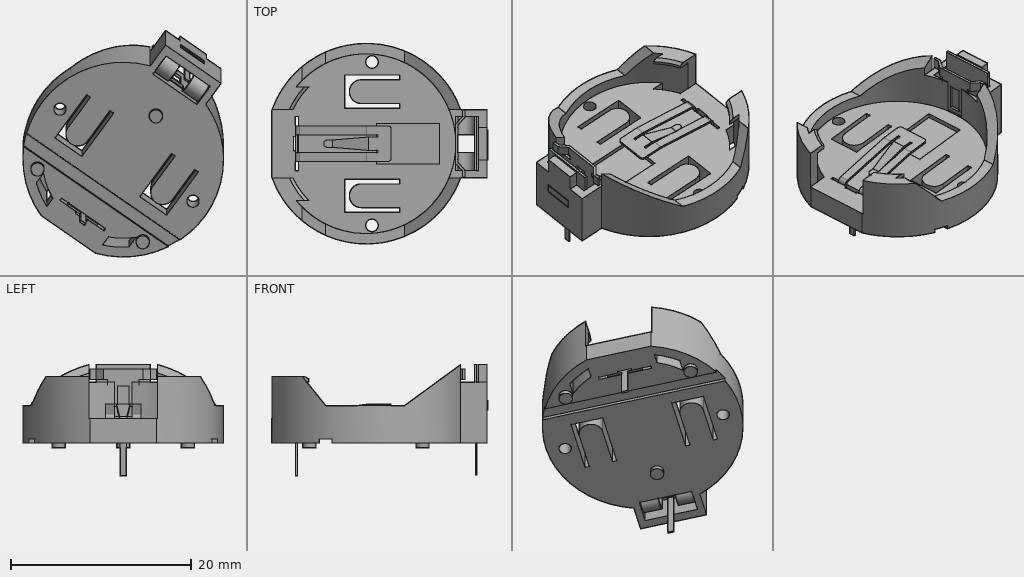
import cadquery as cq
import math

OUTER_DIAMETER = 22.3
OUTER_RADIUS = OUTER_DIAMETER / 2
FLAT_X = -10.52
CAVITY_RADIUS = 10.0
CAVITY_CENTER_X = -0.05
FLOOR_Z = 2.74
RIM_LOW_Z = 4.18
RIM_FRONT_Z = 7.42
TOP_Z = 8.75
RAMP_FRONT_TOP_X = -7.13
RAMP_FRONT_FOOT_X = -4.51
RAMP_BACK_FOOT_X = 4.25
RAMP_BACK_TOP_X = 10.5

BOX_HALF_WIDTH = 3.8
BOX_END_X = 13.42
BOX_TOP_Z = 6.77
TAB_HALF_WIDTH = 1.8
OVERALL_LENGTH = 24
BADGE_END_X = FLAT_X + OVERALL_LENGTH
BADGE_WIDTH = 3.3
BADGE_Y = -0.15
BADGE_BOTTOM_Z = 3.67
BADGE_TOP_Z = 4.73

LIP_RADIUS = 8.95
LIP_CHAMFER_RADIUS = 9.32
LIP_BOTTOM_Z = 6.8
LIP_EDGE_Z = 7.13
LIP_END_Y = 6.31

HOLE_DIAMETER = 1.37
HOLE_X = 0.62
HOLE_Y = 9.08
U_START_X = -2.38
U_END_X = 3.7
U_CENTER_Y = 5.79
U_WIDTH = 3.65
U_TONGUE_WIDTH = 2.67
U_TONGUE_TIP_X = -1.9
POCKET_START_X = 1.15
POCKET_END_X = 8.12
POCKET_WIDTH = 4.54
POCKET_DEPTH = 0.5

CHANNEL_START_X = -5.2
CHANNEL_END_X = -3.82
CHANNEL_DEPTH = 0.43
FOOT_DIAMETER = 1.5
FOOT_HEIGHT = 0.53
FOOT_PAIR_X = -6.35
FOOT_PAIR_Y = 7.18
FOOT_SINGLE_X = 6.25

SLOT_WIDTH = 6.0
LEG_SLOT_START_X = -7.88
LEG_SLOT_END_X = -7.56
NOTCH_WIDTH = 1.55
NOTCH_DEPTH = 0.22

PIN_WIDTH = 0.67

SPRING_THICKNESS = 0.25
SPRING_WIDTH = 3.95
SPRING_END_X = 2.75
SPRING_TOP_Z = 4.32
SPRING_CORNER_RADIUS = 0.38
SPRING_BEND_RADIUS = 0.53
ARM_FOOT_Z = 3.2
ARM_TOP_X = 0.0
ARM_GAP_WIDTH = 1.97
ARM_GAP_END_X = 1.32
ARM_GAP_BOTTOM_Z = 2.28
TONGUE_ROOT_X = 0.22
TONGUE_ROOT_WIDTH = 1.5
TONGUE_BEND_X = -3.75
TONGUE_TIP_X = -4.73
TONGUE_TIP_WIDTH = 0.82
TONGUE_TIP_Z = 2.98
SPRING_PIN_BOTTOM_Z = -3.65

CLIP_THICKNESS = 0.3
CLIP_FRONT_X = 9.9
CLIP_BACK_X = 12.3
CLIP_BEND_Z = 1.68
CLIP_SPLIT_TOP_Z = 2.93
CLIP_SHOULDER_Z = 6.48
CLIP_NECK_WIDTH = 3.55
CLIP_SPLIT_WIDTH = 1.95
WINDOW_WIDTH = 1.25
WINDOW_BOTTOM_Z = 3.4
WINDOW_TOP_Z = 6.35
WING_BOTTOM_Z = 7.05
WING_TOP_Z = 8.24
WING_START_Y = 2.18
WING_ELBOW_Y = 3.05
WING_END_Y = 3.72
WING_SETBACK = 0.8
CLIP_PIN_THICKNESS = 0.17
CLIP_PIN_BOTTOM_Z = -3.55

TERMINAL_SLOT_END_X = 12.44


def block(x0, x1, y0, y1, z0, z1):
    """Box between two corners."""
    return cq.Workplane("XY").box(x1 - x0, y1 - y0, z1 - z0, centered=False).translate((x0, y0, z0))


def centered_block(x0, x1, width, z0, z1):
    """Box centred on the XZ plane."""
    return block(x0, x1, -width / 2, width / 2, z0, z1)


def cylinder(x, y, radius, z0, z1):
    """Upright cylinder."""
    return cq.Workplane("XY", origin=(x, y, z0)).circle(radius).extrude(z1 - z0)


def side_prism(points, width):
    """XZ outline extruded evenly to both sides of the XZ plane."""
    return cq.Workplane("XZ").polyline(points).close().extrude(width / 2, both=True)


def strip_outline(path, thickness):
    """Closed outline of a bent strip: the path and its parallel on the right-hand side, mitred."""
    parallel = []
    last = len(path) - 1
    for i, (px, py) in enumerate(path):
        before = path[max(i - 1, 0):max(i - 1, 0) + 2]
        after = path[min(i, last - 1):min(i, last - 1) + 2]
        angles = [math.atan2(b[1] - a[1], b[0] - a[0]) for a, b in (before, after)]
        middle = sum(angles) / 2
        reach = thickness / math.cos((angles[1] - angles[0]) / 2)
        parallel.append((px + reach * math.sin(middle), py - reach * math.cos(middle)))
    return path + parallel[::-1]


def housing_shell():
    """Round cup with a ramped rim, open at -X and carrying the terminal box at +X."""
    rim_profile = [
        (FLAT_X, 0),
        (FLAT_X, RIM_FRONT_Z),
        (RAMP_FRONT_TOP_X, RIM_FRONT_Z),
        (RAMP_FRONT_FOOT_X, RIM_LOW_Z),
        (RAMP_BACK_FOOT_X, RIM_LOW_Z),
        (RAMP_BACK_TOP_X, TOP_Z),
        (OUTER_RADIUS, TOP_Z),
        (OUTER_RADIUS, 0),
    ]
    shell = cylinder(0, 0, OUTER_RADIUS, 0, TOP_Z)
    shell = shell.intersect(side_prism(rim_profile, 2 * OUTER_RADIUS))
    shell = shell.cut(centered_block(0, BOX_END_X, 2 * BOX_HALF_WIDTH, BOX_TOP_Z, TOP_Z))
    shell = shell.union(centered_block(0, BOX_END_X, 2 * BOX_HALF_WIDTH, 0, BOX_TOP_Z))
    shell = shell.cut(cylinder(CAVITY_CENTER_X, 0, CAVITY_RADIUS, FLOOR_Z, TOP_Z))
    shell = shell.cut(centered_block(FLAT_X, 0, 2 * BOX_HALF_WIDTH, FLOOR_Z, TOP_Z))
    shell = shell.union(
        centered_block(TERMINAL_SLOT_END_X, BOX_END_X, 2 * TAB_HALF_WIDTH, BOX_TOP_Z, TOP_Z)
    )
    badge = centered_block(BOX_END_X, BADGE_END_X, BADGE_WIDTH, BADGE_BOTTOM_Z, BADGE_TOP_Z)
    return shell.union(badge.translate((0, BADGE_Y, 0)))


def lip_zone(side, z0, z1):
    """Space over which one catch extends: side is +1 or -1 in Y."""
    y0, y1 = sorted((side * BOX_HALF_WIDTH, side * LIP_END_Y))
    return block(-OUTER_RADIUS, CAVITY_CENTER_X, y0, y1, z0, z1)


def lip_ring():
    """Ring with a chamfered inner edge, from which the catches are taken."""
    outer = (CAVITY_RADIUS + OUTER_RADIUS) / 2
    section = [
        (LIP_RADIUS, LIP_BOTTOM_Z),
        (outer, LIP_BOTTOM_Z),
        (outer, RIM_FRONT_Z),
        (LIP_CHAMFER_RADIUS, RIM_FRONT_Z),
        (LIP_RADIUS, LIP_EDGE_Z),
    ]
    ring = cq.Workplane("XZ").polyline(section).close().revolve(360, (0, 0, 0), (0, 1, 0))
    return ring.translate((CAVITY_CENTER_X, 0, 0))


def lip(side):
    """One catch, ending inside the wall."""
    inside_wall = cylinder(CAVITY_CENTER_X, 0, CAVITY_RADIUS, LIP_BOTTOM_Z, RIM_FRONT_Z)
    return lip_ring().intersect(lip_zone(side, LIP_BOTTOM_Z, RIM_FRONT_Z)).intersect(inside_wall)


def lip_floor_opening(side):
    """Opening through the floor straight below one catch."""
    ring = cylinder(CAVITY_CENTER_X, 0, CAVITY_RADIUS, 0, FLOOR_Z)
    ring = ring.cut(cylinder(CAVITY_CENTER_X, 0, LIP_RADIUS, 0, FLOOR_Z))
    return ring.intersect(lip_zone(side, 0, FLOOR_Z))


def u_slot(side):
    """U-shaped slot through the floor, leaving a round-ended tongue."""
    tip_radius = U_TONGUE_WIDTH / 2
    tip_center_x = U_TONGUE_TIP_X + tip_radius
    slot = centered_block(U_START_X, U_END_X, U_WIDTH, 0, FLOOR_Z)
    slot = slot.cut(centered_block(tip_center_x, U_END_X, U_TONGUE_WIDTH, 0, FLOOR_Z))
    slot = slot.cut(cylinder(tip_center_x, 0, tip_radius, 0, FLOOR_Z))
    return slot.translate((0, side * U_CENTER_Y, 0))


def contact_slots():
    """Through slots for the legs of the spring and of the clip."""
    leg_slot = centered_block(LEG_SLOT_START_X, LEG_SLOT_END_X, SLOT_WIDTH, 0, FLOOR_Z)
    notch = centered_block(LEG_SLOT_START_X - NOTCH_DEPTH, LEG_SLOT_START_X, NOTCH_WIDTH, 0, FLOOR_Z)
    terminal_slot = centered_block(CLIP_FRONT_X, TERMINAL_SLOT_END_X, SLOT_WIDTH, 0, TOP_Z)
    return leg_slot.union(notch).union(terminal_slot)


def make_housing():
    body = housing_shell().cut(contact_slots())
    body = body.cut(
        centered_block(POCKET_START_X, POCKET_END_X, POCKET_WIDTH, FLOOR_Z - POCKET_DEPTH, FLOOR_Z)
    )
    body = body.cut(centered_block(CHANNEL_START_X, CHANNEL_END_X, 2 * OUTER_RADIUS, 0, CHANNEL_DEPTH))
    for side in (1, -1):
        body = body.union(lip(side))
        body = body.cut(lip_floor_opening(side))
        body = body.cut(u_slot(side))
        body = body.cut(cylinder(HOLE_X, side * HOLE_Y, HOLE_DIAMETER / 2, 0, FLOOR_Z))
    foot_places = [(FOOT_PAIR_X, FOOT_PAIR_Y), (FOOT_PAIR_X, -FOOT_PAIR_Y), (FOOT_SINGLE_X, 0)]
    for x, y in foot_places:
        body = body.union(cylinder(x, y, FOOT_DIAMETER / 2, -FOOT_HEIGHT, 0))
    return body


def spring_sheet():
    """Leg, sloped arms and flat pad as one bent sheet."""
    path = [
        (LEG_SLOT_START_X, 0),
        (LEG_SLOT_START_X, ARM_FOOT_Z),
        (ARM_TOP_X, SPRING_TOP_Z),
        (SPRING_END_X, SPRING_TOP_Z),
    ]
    sheet = side_prism(strip_outline(path, SPRING_THICKNESS), SPRING_WIDTH)
    inside_bend = cq.selectors.BoxSelector(
        (LEG_SLOT_START_X + SPRING_THICKNESS / 2, -SPRING_WIDTH, FLOOR_Z),
        (LEG_SLOT_END_X, SPRING_WIDTH, ARM_FOOT_Z),
    )
    outside_bend = cq.selectors.BoxSelector(
        (LEG_SLOT_START_X - SPRING_THICKNESS / 2, -SPRING_WIDTH, FLOOR_Z),
        (LEG_SLOT_START_X + SPRING_THICKNESS / 2, SPRING_WIDTH, SPRING_TOP_Z),
    )
    sheet = sheet.edges("|Y").edges(inside_bend).fillet(SPRING_BEND_RADIUS - SPRING_THICKNESS)
    sheet = sheet.edges("|Y").edges(outside_bend).fillet(SPRING_BEND_RADIUS)
    return sheet.edges("|Z and >X").fillet(SPRING_CORNER_RADIUS)


def spring_tongue():
    """Tapered tongue bent down from the pad to the floor, with a flat round tip."""
    path = [
        (TONGUE_TIP_X, TONGUE_TIP_Z),
        (TONGUE_BEND_X, TONGUE_TIP_Z),
        (TONGUE_ROOT_X, SPRING_TOP_Z),
        (ARM_GAP_END_X, SPRING_TOP_Z),
    ]
    tip_radius = TONGUE_TIP_WIDTH / 2
    root = TONGUE_ROOT_WIDTH / 2
    outline = (
        cq.Workplane("XY")
        .moveTo(ARM_GAP_END_X, -root)
        .lineTo(TONGUE_ROOT_X, -root)
        .lineTo(TONGUE_BEND_X, -tip_radius)
        .lineTo(TONGUE_TIP_X + tip_radius, -tip_radius)
        .threePointArc((TONGUE_TIP_X, 0), (TONGUE_TIP_X + tip_radius, tip_radius))
        .lineTo(TONGUE_BEND_X, tip_radius)
        .lineTo(TONGUE_ROOT_X, root)
        .lineTo(ARM_GAP_END_X, root)
        .close()
        .extrude(TOP_Z)
    )
    return side_prism(strip_outline(path, SPRING_THICKNESS), TONGUE_ROOT_WIDTH).intersect(outline)


def make_spring():
    spring = spring_sheet()
    spring = spring.cut(
        centered_block(LEG_SLOT_START_X, ARM_GAP_END_X, ARM_GAP_WIDTH, ARM_GAP_BOTTOM_Z, SPRING_TOP_Z)
    )
    spring = spring.union(spring_tongue())
    leg_back_x = LEG_SLOT_START_X + SPRING_THICKNESS
    return spring.union(centered_block(LEG_SLOT_START_X, leg_back_x, PIN_WIDTH, SPRING_PIN_BOTTOM_Z, 0))


def clip_sheet():
    """Front plate, half-round bend and back plate as one U-shaped sheet."""
    bend_radius = (CLIP_BACK_X - CLIP_FRONT_X) / 2
    inner_radius = bend_radius - CLIP_THICKNESS
    middle_x = CLIP_FRONT_X + bend_radius
    outline = (
        cq.Workplane("XZ")
        .moveTo(CLIP_FRONT_X, CLIP_SHOULDER_Z)
        .lineTo(CLIP_FRONT_X, CLIP_BEND_Z)
        .threePointArc((middle_x, CLIP_BEND_Z - bend_radius), (CLIP_BACK_X, CLIP_BEND_Z))
        .lineTo(CLIP_BACK_X, TOP_Z)
        .lineTo(CLIP_BACK_X - CLIP_THICKNESS, TOP_Z)
        .lineTo(CLIP_BACK_X - CLIP_THICKNESS, CLIP_BEND_Z)
        .threePointArc((middle_x, CLIP_BEND_Z - inner_radius), (CLIP_FRONT_X + CLIP_THICKNESS, CLIP_BEND_Z))
        .lineTo(CLIP_FRONT_X + CLIP_THICKNESS, CLIP_SHOULDER_Z)
        .close()
    )
    return outline.extrude(SLOT_WIDTH / 2, both=True)


def clip_wings():
    """Top band of the front plate, with both ends bent back and then outward."""
    back_x = CLIP_FRONT_X + WING_SETBACK
    half_path = [
        (CLIP_FRONT_X, WING_START_Y),
        (back_x, WING_ELBOW_Y),
        (back_x, WING_END_Y),
    ]
    mirrored_half = [(x, -y) for x, y in reversed(half_path)]
    outline = strip_outline(mirrored_half + half_path, CLIP_THICKNESS)
    return (
        cq.Workplane("XY", origin=(0, 0, WING_BOTTOM_Z))
        .polyline(outline)
        .close()
        .extrude(WING_TOP_Z - WING_BOTTOM_Z)
    )


def make_clip():
    front_back_x = CLIP_FRONT_X + CLIP_THICKNESS
    clip = clip_sheet()
    neck = centered_block(CLIP_FRONT_X, front_back_x, CLIP_NECK_WIDTH, CLIP_SHOULDER_Z, WING_BOTTOM_Z)
    clip = clip.union(neck).union(clip_wings())
    clip = clip.cut(centered_block(CLIP_FRONT_X, CLIP_BACK_X, CLIP_SPLIT_WIDTH, 0, CLIP_SPLIT_TOP_Z))
    clip = clip.cut(
        centered_block(CLIP_FRONT_X, front_back_x, WINDOW_WIDTH, WINDOW_BOTTOM_Z, WINDOW_TOP_Z)
    )
    pin_start_x = CLIP_BACK_X - CLIP_PIN_THICKNESS
    return clip.union(
        centered_block(pin_start_x, CLIP_BACK_X, PIN_WIDTH, CLIP_PIN_BOTTOM_Z, CLIP_SPLIT_TOP_Z)
    )


housing = make_housing()
spring = make_spring()
clip = make_clip()
result = cq.Compound.makeCompound([housing.solids().val(), spring.solids().val(), clip.solids().val()])